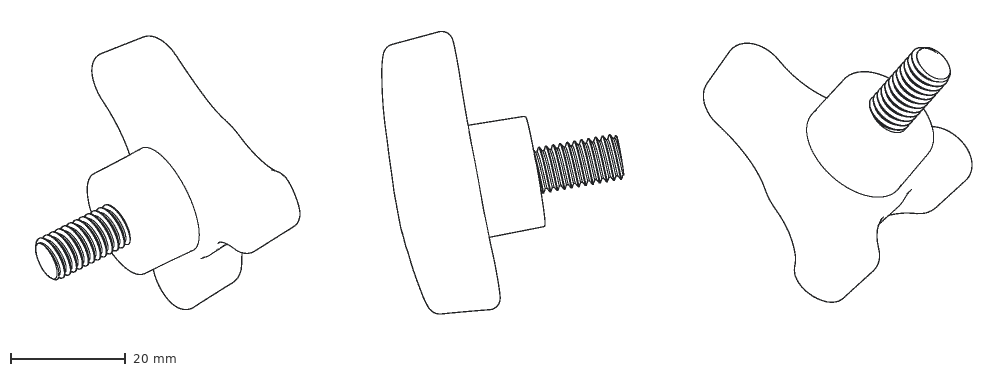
import cadquery as cq
import math


LOBES = 3
SPAN = 50.15
HEAD_HEIGHT = 14.05
DRAFT = 5.0
EDGE_RADIUS = 2.0
LOBE_DISTANCE = 22.0
WAIST_RADIUS = 12.25
HOLLOW_RADIUS = 13.8

draft_angle = math.radians(DRAFT)
rim_loss = EDGE_RADIUS * (math.tan(draft_angle) + 1 / math.cos(draft_angle) - 1)
lobe_radius = SPAN / 2 - LOBE_DISTANCE * math.sin(math.pi / LOBES) + rim_loss

FLAT_RADIUS = 11.05
DOME_RADIUS = 63.7
CUTTER_RADIUS = 35.1

HUB_RADIUS = 10.0
HUB_HEIGHT = 10.5
HUB_DRAFT = 1.0
HUB_EDGE_RADIUS = 0.4

STUD_LENGTH = 15.05
THREAD_RADIUS = 4.0
ROOT_RADIUS = 3.3
THREAD_TURNS = 12
PITCH = STUD_LENGTH / THREAD_TURNS
END_CHAMFER = 0.5
CREST_WIDTH = PITCH / 8
ROOT_WIDTH = PITCH / 4
THREAD_OVERLAP = 0.1

TRIM_MARGIN = 0.5

hub_end = -HUB_HEIGHT
stud_end = hub_end - STUD_LENGTH


def polar(radius, angle):
    return (radius * math.cos(angle), radius * math.sin(angle))


def toward(start, target, distance):
    """Point on the line from start to target, at a distance from start."""
    length = math.dist(start, target)
    return tuple(s + (t - s) * distance / length for s, t in zip(start, target))


def head_outline():
    """Closed outline of tangent arcs: lobe, hollow, waist, hollow, repeated."""
    hollow_distance = WAIST_RADIUS + HOLLOW_RADIUS
    cosine = (LOBE_DISTANCE**2 + hollow_distance**2 - (lobe_radius + HOLLOW_RADIUS) ** 2) / (
        2 * LOBE_DISTANCE * hollow_distance
    )
    hollow_angle = math.acos(cosine)
    step = 2 * math.pi / LOBES

    def hollow_points(lobe_angle, side):
        """Lobe end, middle and waist end of the hollow on one side of a lobe."""
        lobe = polar(LOBE_DISTANCE, lobe_angle)
        hollow = polar(hollow_distance, lobe_angle + side * hollow_angle)
        lobe_end = toward(hollow, lobe, HOLLOW_RADIUS)
        waist_end = toward(hollow, (0, 0), HOLLOW_RADIUS)
        chord_middle = tuple((a + b) / 2 for a, b in zip(lobe_end, waist_end))
        return lobe_end, toward(hollow, chord_middle, HOLLOW_RADIUS), waist_end

    first_lobe = math.pi / 2
    outline = cq.Workplane("XY").moveTo(*hollow_points(first_lobe, -1)[0])
    for i in range(LOBES):
        angle = first_lobe + i * step
        lobe_end, middle, waist_end = hollow_points(angle, 1)
        next_lobe_end, next_middle, next_waist_end = hollow_points(angle + step, -1)
        outline = (
            outline.threePointArc(polar(LOBE_DISTANCE + lobe_radius, angle), lobe_end)
            .threePointArc(middle, waist_end)
            .threePointArc(polar(WAIST_RADIUS, angle + step / 2), next_waist_end)
            .threePointArc(next_middle, next_lobe_end)
        )
    return outline.close()


def dome_envelope():
    """Solid of revolution that keeps everything below the domed face."""

    def dome_point(radius):
        reach = radius - FLAT_RADIUS
        drop = DOME_RADIUS - math.sqrt(DOME_RADIUS**2 - reach**2)
        return (radius, HEAD_HEIGHT - drop)

    middle_radius = (FLAT_RADIUS + CUTTER_RADIUS) / 2
    return (
        cq.Workplane("XZ")
        .lineTo(0, HEAD_HEIGHT)
        .lineTo(FLAT_RADIUS, HEAD_HEIGHT)
        .threePointArc(dome_point(middle_radius), dome_point(CUTTER_RADIUS))
        .lineTo(CUTTER_RADIUS, 0)
        .close()
        .revolve(360, (0, 0), (0, 1))
    )


def make_head():
    drafted = head_outline().extrude(HEAD_HEIGHT + TRIM_MARGIN, taper=DRAFT)
    domed = drafted.intersect(dome_envelope())
    rounded_base = domed.edges("<Z").fillet(EDGE_RADIUS)
    return rounded_base.faces(">Z").edges().fillet(EDGE_RADIUS)


def make_hub():
    hub = cq.Workplane("XY").circle(HUB_RADIUS).extrude(-HUB_HEIGHT, taper=HUB_DRAFT)
    return hub.faces("<Z").edges().fillet(HUB_EDGE_RADIUS)


def make_stud():
    """Core with a right-hand helical ridge, chamfered at the free end."""
    core_start = cq.Workplane("XY").workplane(offset=stud_end - 2 * PITCH)
    core = core_start.circle(ROOT_RADIUS).extrude(STUD_LENGTH + 4 * PITCH)

    helix = cq.Wire.makeHelix(PITCH, STUD_LENGTH + 2 * PITCH, ROOT_RADIUS)
    slope = (PITCH - ROOT_WIDTH - CREST_WIDTH) / 2 / (THREAD_RADIUS - ROOT_RADIUS)
    base_half = (PITCH - ROOT_WIDTH) / 2 + slope * THREAD_OVERLAP
    base_radius = ROOT_RADIUS - THREAD_OVERLAP
    ridge = (
        cq.Workplane("XZ")
        .moveTo(base_radius, -base_half)
        .lineTo(THREAD_RADIUS, -CREST_WIDTH / 2)
        .lineTo(THREAD_RADIUS, CREST_WIDTH / 2)
        .lineTo(base_radius, base_half)
        .close()
        .sweep(cq.Workplane(helix), isFrenet=True)
        .translate((0, 0, stud_end - PITCH))
    )
    blank = cq.Workplane("XY").workplane(offset=stud_end).circle(THREAD_RADIUS + TRIM_MARGIN)
    envelope = blank.extrude(STUD_LENGTH).faces("<Z").edges().chamfer(END_CHAMFER + TRIM_MARGIN)
    return core.union(ridge).intersect(envelope)


knob = make_head().union(make_hub()).union(make_stud())
result = knob.rotate((0, 0, 0), (1, 0, 0), -90)